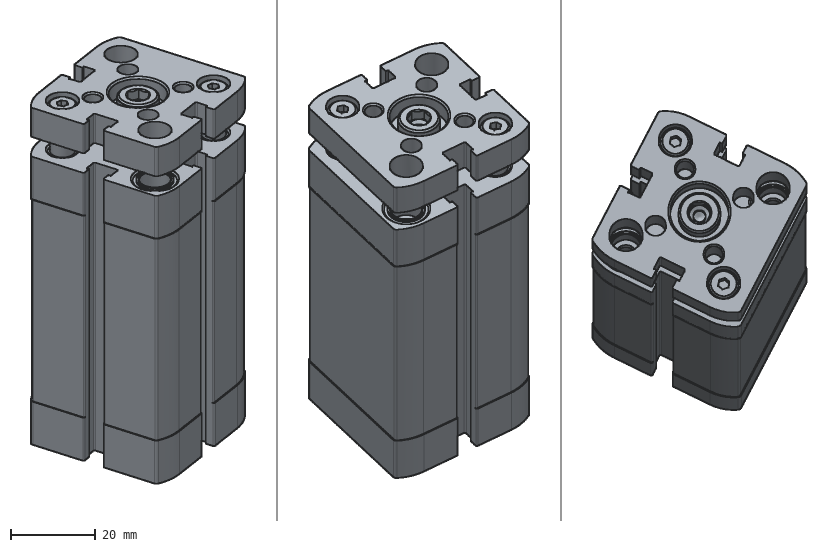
import cadquery as cq
import math

width = 39.5
half_width = width / 2
total_height = 92.5
plate_thickness = 8.05
plate_bottom = total_height - plate_thickness
stroke_gap = 5.4
housing_height = plate_bottom - stroke_gap
cap_height = 11.8
barrel_inset = 0.23
barrel_height = housing_height - 2 * cap_height

corner_radius = 12.5
corner_start = 12.8
corner_blend = 1.0

slot_neck_width = 5.4
slot_inner_width = 6.75
slot_neck_depth = 2.4
slot_depth = 5.6
slot_edge_round = 0.4
slot_angles = (0, 180, 270)

rod_diameter = 10.0
rod_chamfer = 0.5
rod_across_flats = 9.0
rod_flat_length = 4.3
rod_top = total_height - 0.7
rod_depth = cap_height
rod_socket_flats = 5.0
rod_socket_mouth = 5.7
rod_socket_depth = 2.8
rod_drill_diameter = 3.0
rod_drill_depth = 0.9
drill_tip_angle = 118.0

corner_spacing = 26.0
corner_offset = corner_spacing / 2
guide_diameter = 6.0
guide_depth = cap_height
guide_seat_diameter = 8.0
guide_seat_chamfer = 0.5
screw_head_diameter = 7.0
screw_head_chamfer = 0.5
screw_head_top = total_height - 0.7
screw_recess_depth = 5.0
screw_socket_flats = 2.5
screw_socket_depth = 2.0
screw_socket_angle = 15

access_diameter = 8.0
seat_diameter = 10.5
seat_depth = 0.5
seat_chamfer = 0.5
collar_diameter = 9.0
mount_bore_diameter = 7.5
mount_bore_mouth = 8.0
mount_bore_depth = 5.55
mount_hole_diameter = 4.2
mount_thread_mouth = 5.0

plate_bore_diameter = 14.0
plate_bore_chamfer = 0.5
plate_bore_depth = 4.6
tool_hole_offset = 7.8
dowel_hole_diameter = 5.0
thread_hole_diameter = 4.2
thread_hole_mouth = 5.0

guide_diagonal = ((1, 1), (-1, -1))
mount_diagonal = ((-1, 1), (1, -1))


def cylinder(diameter, bottom, top, x=0, y=0):
    return cq.Workplane("XY", origin=(x, y, bottom)).circle(diameter / 2).extrude(top - bottom)


def hexagon(across_flats, bottom, top):
    """A hexagonal prism with two of its corners on the X axis."""
    across_corners = across_flats / math.cos(math.pi / 6)
    return cq.Workplane("XY", origin=(0, 0, bottom)).polygon(6, across_corners).extrude(top - bottom)


def cone(lower_diameter, upper_diameter, bottom, top, x=0, y=0):
    profile = [(0, bottom), (lower_diameter / 2, bottom), (upper_diameter / 2, top), (0, top)]
    if lower_diameter == 0:
        profile.pop(0)
    outline = cq.Workplane("XZ").polyline(profile).close()
    return outline.revolve(360, (0, 0), (0, 1)).translate((x, y, 0))


def chamfered_hole(diameter, mouth_diameter, bottom, top, x=0, y=0):
    """A round hole with a 45 degree chamfer at its upper end."""
    chamfer = (mouth_diameter - diameter) / 2
    hole = cylinder(diameter, bottom, top, x, y)
    return hole.union(cone(diameter, mouth_diameter, top - chamfer, top, x, y))


def chamfered_pin(diameter, chamfer, bottom, top, x=0, y=0):
    return cylinder(diameter, bottom, top, x, y).faces(">Z").chamfer(chamfer)


def corner_points(diagonal, offset):
    return [(sign_x * offset, sign_y * offset) for sign_x, sign_y in diagonal]


def slot(bottom, top):
    """A slot from the +X face, with a narrow neck and a wider inside with a rounded floor."""
    length = top - bottom
    floor = half_width - slot_depth
    shoulder = half_width - slot_neck_depth
    level = cq.Workplane("XY", origin=(floor, 0, bottom))
    inside = level.rect(shoulder - floor, slot_inner_width, centered=(False, True)).extrude(length)
    inside = inside.edges("|Z and <X").fillet(slot_edge_round)
    return inside.union(level.rect(slot_depth, slot_neck_width, centered=(False, True)).extrude(length))


def slot_mouth_edges(block_width):
    """Boxes around the upright edges where the slot necks meet the outer faces."""
    reach = block_width / 2 + slot_edge_round
    near = block_width / 2 - slot_edge_round
    half_mouth = slot_neck_width / 2 + slot_edge_round
    sides = cq.selectors.BoxSelector((-reach, -half_mouth, 0), (-near, half_mouth, total_height))
    sides = sides + cq.selectors.BoxSelector((near, -half_mouth, 0), (reach, half_mouth, total_height))
    front = cq.selectors.BoxSelector((-half_mouth, -reach, 0), (half_mouth, -near, total_height))
    return sides + front


def slotted_block(bottom, height, inset=0.0):
    """A length of the slotted profile with every outer face moved in by the inset."""
    block_width = width - 2 * inset
    radius = corner_radius - inset
    rounded_length = 2 * (corner_start + radius)
    rounded = cq.Workplane("XY").box(block_width, rounded_length, height).edges("|Z").fillet(radius)
    block = rounded.intersect(cq.Workplane("XY").box(block_width, block_width, height))
    block = block.edges("|Z and (>Y or <Y)").fillet(corner_blend - inset)
    block = block.translate((0, 0, bottom + height / 2))
    for angle in slot_angles:
        block = block.cut(slot(bottom, bottom + height).rotate((0, 0, 0), (0, 0, 1), angle))
    return block.edges("|Z").edges(slot_mouth_edges(block_width)).fillet(slot_edge_round)


def make_housing():
    housing = slotted_block(0, cap_height)
    housing = housing.union(slotted_block(cap_height, barrel_height, barrel_inset))
    housing = housing.union(slotted_block(cap_height + barrel_height, cap_height))

    housing = housing.cut(cylinder(rod_diameter, housing_height - rod_depth, housing_height))
    seat_mouth = guide_seat_diameter - 2 * guide_seat_chamfer
    for x, y in corner_points(guide_diagonal, corner_offset):
        housing = housing.cut(cylinder(guide_diameter, housing_height - guide_depth, housing_height, x, y))
        seat_bottom = housing_height - guide_seat_chamfer
        housing = housing.cut(cone(seat_mouth, guide_seat_diameter, seat_bottom, housing_height, x, y))

    bore_bottom = housing_height - mount_bore_depth
    for x, y in corner_points(mount_diagonal, corner_offset):
        seat_mouth = seat_diameter + 2 * seat_chamfer
        seat = chamfered_hole(seat_diameter, seat_mouth, housing_height - seat_depth, housing_height, x, y)
        collar = cylinder(collar_diameter, housing_height - seat_depth, housing_height, x, y)
        housing = housing.cut(seat.cut(collar))
        bore = chamfered_hole(mount_bore_diameter, mount_bore_mouth, bore_bottom, housing_height, x, y)
        housing = housing.cut(bore)
        housing = housing.cut(chamfered_hole(mount_hole_diameter, mount_thread_mouth, 0, bore_bottom, x, y))
    return housing


def piston_rod():
    rod = chamfered_pin(rod_diameter, rod_chamfer, housing_height - rod_depth, rod_top)

    flat_bottom = plate_bottom - rod_flat_length
    flat_band = cq.Workplane("XY", origin=(0, 0, flat_bottom)).rect(width, width)
    flat_band = flat_band.rect(width, rod_across_flats).extrude(rod_flat_length)
    rod = rod.cut(flat_band)
    return rod


def rod_socket():
    """Hexagon socket in the rod end, with a countersunk mouth and a pointed drill hole below it."""
    slope = math.tan(math.radians(drill_tip_angle / 2))
    socket_bottom = rod_top - rod_socket_depth
    step_bottom = socket_bottom - (rod_socket_flats - rod_drill_diameter) / 2 / slope
    drill_bottom = step_bottom - rod_drill_depth
    tip = drill_bottom - rod_drill_diameter / 2 / slope
    mouth_bottom = rod_top - (rod_socket_mouth - rod_socket_flats) / 2
    socket = hexagon(rod_socket_flats, socket_bottom, rod_top)
    socket = socket.union(cone(rod_socket_flats, rod_socket_mouth, mouth_bottom, rod_top))
    socket = socket.union(cone(rod_drill_diameter, rod_socket_flats, step_bottom, socket_bottom))
    socket = socket.union(cylinder(rod_drill_diameter, drill_bottom, step_bottom))
    return socket.union(cone(0, rod_drill_diameter, tip, drill_bottom))


def guide_rod(x, y):
    recess_floor = total_height - screw_recess_depth
    rod = cylinder(guide_diameter, housing_height - guide_depth, recess_floor, x, y)
    head = chamfered_pin(screw_head_diameter, screw_head_chamfer, recess_floor, screw_head_top, x, y)
    socket = hexagon(screw_socket_flats, screw_head_top - screw_socket_depth, screw_head_top)
    socket = socket.rotate((0, 0, 0), (0, 0, 1), screw_socket_angle).translate((x, y, 0))
    return rod.union(head.cut(socket))


def plate():
    body = slotted_block(plate_bottom, plate_thickness)

    bore_mouth = plate_bore_diameter + 2 * plate_bore_chamfer
    bore_floor = total_height - plate_bore_depth
    body = body.cut(chamfered_hole(plate_bore_diameter, bore_mouth, bore_floor, total_height))

    for x, y in corner_points(guide_diagonal, tool_hole_offset):
        hole = chamfered_hole(thread_hole_diameter, thread_hole_mouth, plate_bottom, total_height, x, y)
        body = body.cut(hole)
    for x, y in corner_points(mount_diagonal, tool_hole_offset):
        body = body.cut(cylinder(dowel_hole_diameter, plate_bottom, total_height, x, y))

    for x, y in corner_points(guide_diagonal, corner_offset):
        body = body.cut(cylinder(access_diameter, total_height - screw_recess_depth, total_height, x, y))
    for x, y in corner_points(mount_diagonal, corner_offset):
        body = body.cut(cylinder(access_diameter, plate_bottom, total_height, x, y))
    return body


def make_yoke():
    """The moving body: plate, piston rod and guide rods in one piece."""
    yoke = plate().union(piston_rod())
    for x, y in corner_points(guide_diagonal, corner_offset):
        yoke = yoke.union(guide_rod(x, y))
    return yoke.cut(rod_socket())


housing = make_housing()
yoke = make_yoke()
result = cq.Compound.makeCompound([housing.val(), yoke.val()])